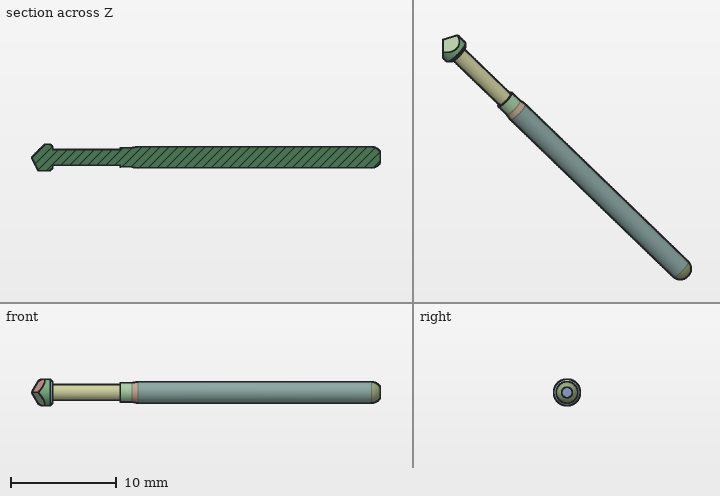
import cadquery as cq
import math

length = 33.02
head_rim_end = 1.75
head_back = 2.0
collar_start = 8.4
collar_end = 9.48
barrel_start = 10.07
barrel_end = 32.13

head_diameter = 2.55
head_radius = head_diameter / 2
head_back_radius = 1.02
shaft_radius = 0.75
collar_radius = 0.92
barrel_radius = 1.02

facet_count = 3
facet_angle = 45.0
cutter_size = 6.6


def turned_body():
    """Stepped pin turned about X, with a flattened spherical tail."""
    tail_length = length - barrel_end

    def tail_radius(distance):
        return math.sqrt(barrel_radius**2 - distance**2)

    half_way = tail_length / 2
    return (
        cq.Workplane("XY")
        .lineTo(0, head_radius)
        .lineTo(head_rim_end, head_radius)
        .lineTo(head_back, head_back_radius)
        .lineTo(head_back, shaft_radius)
        .lineTo(collar_start, shaft_radius)
        .lineTo(collar_start, collar_radius)
        .lineTo(collar_end, collar_radius)
        .lineTo(barrel_start, barrel_radius)
        .lineTo(barrel_end, barrel_radius)
        .threePointArc(
            (barrel_end + half_way, tail_radius(half_way)),
            (length, tail_radius(tail_length)),
        )
        .lineTo(length, 0)
        .close()
        .revolve(360, (0, 0, 0), (1, 0, 0))
    )


def facet_cutter(turn):
    """Block whose sloping face passes through the tip, leaving one facet."""
    return (
        cq.Workplane("XY")
        .box(cutter_size, cutter_size, cutter_size, centered=(True, False, True))
        .rotate((0, 0, 0), (0, 0, 1), facet_angle)
        .rotate((0, 0, 0), (1, 0, 0), turn)
    )


result = turned_body()
for index in range(facet_count):
    result = result.cut(facet_cutter(index * 360 / facet_count))